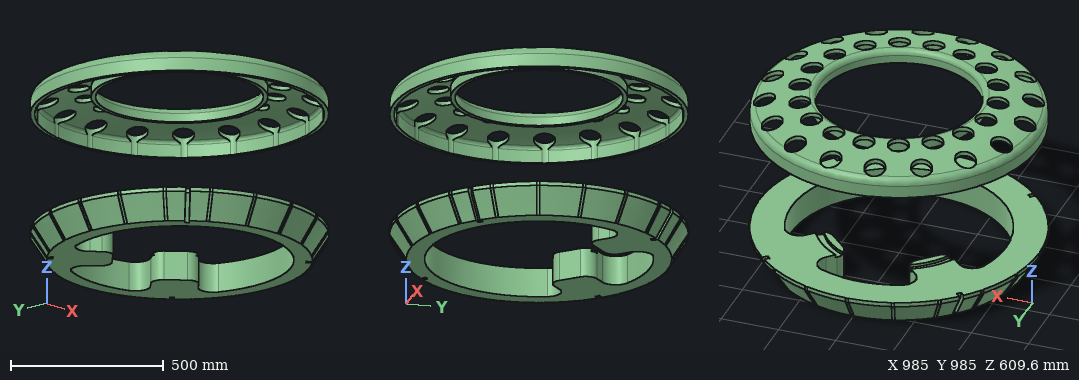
import cadquery as cq
import math

total_height = 610.0
overall_radius = 492.5

base_height = 99.0
rim_height = 15.0
rim_diameter = 980.0
rim_radius = rim_diameter / 2
foot_radius = 435.0
bore_radius = 375.0

rib_count = 20
rib_width = 10.0
rib_height = overall_radius - rim_radius

slot_angles = (45, 135, 225, 315)
slot_width = 15.0
slot_depth = 20.0

tab_angles = (45, 135)
tab_tip_distance = 220.0
tab_width = 158.0
tab_tip_radius = 40.0
tab_root_radius = 49.0
groove_inner_radius = 248.0
groove_outer_radius = 276.0
groove_depth = 10.0

cover_height = 110.0
cover_outer_radius = rim_radius
cover_inner_diameter = 550.0
inner_wall_outer_diameter = 580.0
cover_inner_radius = cover_inner_diameter / 2
wall = (inner_wall_outer_diameter - cover_inner_diameter) / 2
dome_radius = 522.0
outer_fillet = 30.0
inner_fillet = 20.0
inner_wall_lift = 60.0

vent_diameter = 70.0
vent_count = 18
vent_pitch = 360 / vent_count
outer_vent_circle = 441.0
inner_vent_circle = 330.0

cover_bottom = total_height - cover_height


def revolve_profile(outline):
    """Turn an outline drawn on the XZ plane once around the Z axis."""
    return outline.close().revolve(360, (0, 0, 0), (0, 1, 0))


def outer_wall_solid(offset):
    """Full rim and cone, moved outward by `offset` (inward if negative)."""
    return revolve_profile(
        cq.Workplane("XZ")
        .moveTo(0, 0)
        .lineTo(foot_radius + offset, 0)
        .lineTo(rim_radius + offset, base_height - rim_height)
        .lineTo(rim_radius + offset, base_height)
        .lineTo(0, base_height)
    )


def radial_bar(angle, width):
    """Bar of base height that runs from the axis outward at `angle`."""
    bar = cq.Workplane("XY").box(
        2 * overall_radius, width, base_height, centered=(False, True, False)
    )
    return bar.rotate((0, 0, 0), (0, 0, 1), angle)


def make_tab(angle):
    """Tab with rounded tip and filleted root, blended into the bore."""
    half_width = tab_width / 2
    root_center_y = half_width + tab_root_radius
    root_center_distance = bore_radius - tab_root_radius
    root_center_x = math.sqrt(root_center_distance**2 - root_center_y**2)
    blend_scale = bore_radius / root_center_distance
    blend_x = root_center_x * blend_scale
    blend_y = root_center_y * blend_scale
    side_angle = -math.pi / 2
    bore_angle = math.atan2(root_center_y, root_center_x)
    middle_angle = (side_angle + bore_angle) / 2
    arc_x = root_center_x + tab_root_radius * math.cos(middle_angle)
    arc_y = root_center_y + tab_root_radius * math.sin(middle_angle)
    back_x = (bore_radius + foot_radius) / 2

    tab = (
        cq.Workplane("XY")
        .moveTo(tab_tip_distance, -half_width)
        .lineTo(root_center_x, -half_width)
        .threePointArc((arc_x, -arc_y), (blend_x, -blend_y))
        .lineTo(back_x, -blend_y)
        .lineTo(back_x, blend_y)
        .lineTo(blend_x, blend_y)
        .threePointArc((arc_x, arc_y), (root_center_x, half_width))
        .lineTo(tab_tip_distance, half_width)
        .close()
        .extrude(base_height)
        .edges("|Z and <X")
        .fillet(tab_tip_radius)
    )
    return tab.rotate((0, 0, 0), (0, 0, 1), angle)


def make_base():
    """Conical ring with ribs and slots outside and grooved tabs inside."""
    body = outer_wall_solid(0)

    rib_envelope = outer_wall_solid(rib_height)
    for index in range(rib_count):
        rib = radial_bar(index * 360 / rib_count, rib_width).intersect(rib_envelope)
        body = body.union(rib)

    slot_floor = outer_wall_solid(-slot_depth)
    for angle in slot_angles:
        body = body.cut(radial_bar(angle, slot_width).cut(slot_floor))

    body = body.cut(cq.Workplane("XY").circle(bore_radius).extrude(base_height))
    for angle in tab_angles:
        body = body.union(make_tab(angle))

    groove = (
        cq.Workplane("XY")
        .workplane(offset=base_height - groove_depth)
        .circle(groove_outer_radius)
        .circle(groove_inner_radius)
        .extrude(groove_depth)
    )
    return body.cut(groove)


def dome_solid(inner_radius, outer_radius, arc_radius, bottom):
    """Ring under the dome arc, crested above the cover's inner radius."""
    arc_center_z = total_height - dome_radius

    def arc_height(radius):
        return arc_center_z + math.sqrt(arc_radius**2 - (radius - cover_inner_radius) ** 2)

    middle_radius = (inner_radius + outer_radius) / 2
    return revolve_profile(
        cq.Workplane("XZ")
        .moveTo(inner_radius, bottom)
        .lineTo(outer_radius, bottom)
        .lineTo(outer_radius, arc_height(outer_radius))
        .threePointArc(
            (middle_radius, arc_height(middle_radius)),
            (inner_radius, arc_height(inner_radius)),
        )
    )


def vent_cutters(circle_radius, first_angle):
    """Circle of upright cylinders through the full height of the cover."""
    return (
        cq.Workplane("XY")
        .workplane(offset=cover_bottom)
        .polarArray(circle_radius, first_angle, 360, vent_count)
        .circle(vent_diameter / 2)
        .extrude(cover_height)
    )


def make_cover():
    """Domed shell with rounded crest edges, a short inner wall and vent holes."""
    inner_circles = cq.selectors.RadiusNthSelector(0)
    outer_circles = cq.selectors.RadiusNthSelector(-2)

    shell = dome_solid(cover_inner_radius, cover_outer_radius, dome_radius, cover_bottom)
    shell = shell.edges(inner_circles).edges(">Z").fillet(inner_fillet)
    shell = shell.edges(outer_circles).edges(">Z").fillet(outer_fillet)

    cavity = dome_solid(
        cover_inner_radius + wall, cover_outer_radius - wall, dome_radius - wall, cover_bottom
    )
    cavity = cavity.edges(outer_circles).edges(">Z").fillet(outer_fillet - wall)
    shell = shell.cut(cavity)

    below_inner_wall = (
        cq.Workplane("XY")
        .workplane(offset=cover_bottom)
        .circle(cover_inner_radius + wall)
        .extrude(inner_wall_lift)
    )
    shell = shell.cut(below_inner_wall)

    shell = shell.cut(vent_cutters(outer_vent_circle, 0))
    return shell.cut(vent_cutters(inner_vent_circle, vent_pitch / 2))


base = make_base()
cover = make_cover()
result = cq.Compound.makeCompound([base.val(), cover.val()])